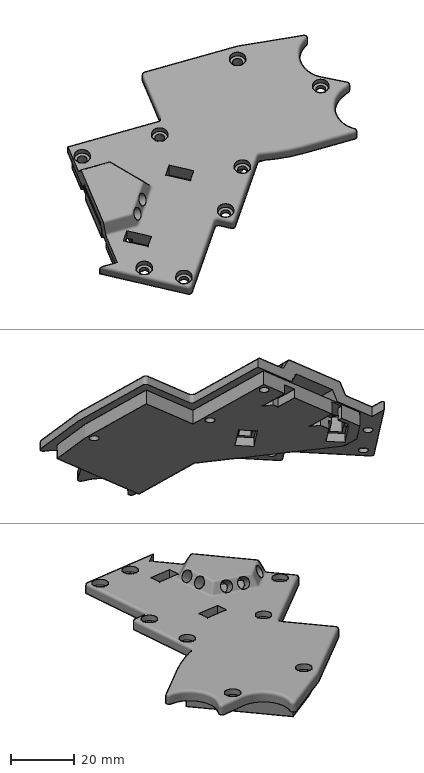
import cadquery as cq
import math

body_height = 5.0
plate_thickness = 3.5
boss_height = 4.0
plate_top = body_height + plate_thickness
total_height = plate_top + boss_height

edge_radius = 1.0
corner_radius = 1.2
tilt = math.radians(35)
margin = 11.8

left_step_x = 19.7
left_step_y = 37.4
slant_start_y = 69.6
slant_angle = math.radians(7.7)
front_y = 5.9
tail_x = 67.9
right_corner_x = 85.2
step_x = 61.9
step_length = 6.1
neck_x = 42.6
upper_right_x = 44.6
neck_arc_top_y = 76.4
neck_arc_radius = 51.6

bite_radius = 8.9
left_bite = (12.6, 95.5)
right_bite = (35.5, 99.4)
peak = (25.6, 97.3)
tip_radius = 1.1
tip_reach = bite_radius + tip_radius

screw_diameter = 3.1
screw_head_diameter = 5.2
screw_head_depth = 2.0
screw_places = [
    (23.8, 89.3),
    (5.2, 67.9),
    (45.4, 55.6),
    (59.9, 44.9),
    (25.1, 34.9),
    (25.1, 8.95),
    (80.2, 24.0),
    (72.7, 13.3),
]

slot_length = 8.1
slot_width = 4.0
first_slot = (41.3, 36.0)
slot_shift = (19.9, -21.0)
pocket_depth = 3.1
pocket_margin = 1.0

wall_inset = 2.95
body_front_y = 6.4
body_top_y = 85.5
body_front_right_x = 63.1
body_right_x = 70.0
body_neck_y = 59.0
body_undercut_x = 68.5
body_undercut_z = 3.2
foot_x = tail_x

groove_width = 4.1
groove_length = 7.9
first_groove_x = 33.5
groove_heights = [3.1, 4.4]
relief_wall = 1.7
relief_width = 4.4

boss_center_x = 43.6
boss_half_width = 13.2
boss_apex_y = 26.0
boss_draft = 30.0
draft = math.radians(boss_draft)
boss_wall = 4.8
lamp_diameter = 4.0
left_lamp_y = 9.8
upper_left_lamps = [3.8, 8.7]
upper_right_lamps = [5.1, 9.8]


def polar(center, radius, angle):
    return (center[0] + radius * math.cos(angle), center[1] + radius * math.sin(angle))


def direction(start, end):
    return math.atan2(end[1] - start[1], end[0] - start[0])


def slope_point(start, x, angle):
    """Point at the given x on the line through start."""
    return (x, start[1] + (x - start[0]) * math.tan(angle))


def arc(outline, center, radius, begin, end):
    """Add an arc from the current point, swept between two angles."""
    middle = polar(center, radius, (begin + end) / 2)
    return outline.threePointArc(middle, polar(center, radius, end))


def flank_turn(bite):
    """Angle at a bite's centre between the peak and the end of its flank."""
    return math.acos(tip_reach / math.dist(bite, peak))


def tilted_box(center, length, width, bottom, height):
    return (
        cq.Workplane("XY", origin=(center[0], center[1], bottom))
        .transformed(rotate=(0, 0, 90 - math.degrees(tilt)))
        .rect(length, width)
        .extrude(height)
    )


def front_trim():
    """Everything in front of the flat front face, left of the tail."""
    return cq.Workplane("XY").box(
        tail_x + margin, front_y + 2 * margin, total_height, centered=False
    ).translate((-margin, -2 * margin, 0))


def make_plate():
    rise = math.pi / 2 - tilt
    tail = (tail_x, 0.0)
    start = slope_point(tail, tail_x - margin / 2, rise)
    right_corner = slope_point(tail, right_corner_x, rise)
    step_inner = slope_point(right_corner, step_x, -tilt)
    step_outer = polar(step_inner, step_length, rise)
    neck = slope_point(step_outer, neck_x, -tilt)
    neck_arc_top = (upper_right_x, neck_arc_top_y)
    neck_angle = math.asin((neck_arc_top_y - neck[1]) / neck_arc_radius)
    neck_arc_center = (upper_right_x - neck_arc_radius, neck_arc_top_y)
    neck_arc_middle = polar(neck_arc_center, neck_arc_radius, -neck_angle / 2)

    right_tip_x = upper_right_x - tip_radius
    drop = math.sqrt(tip_reach**2 - (right_tip_x - right_bite[0]) ** 2)
    right_tip = (right_tip_x, right_bite[1] - drop)
    right_tip_angle = direction(right_tip, right_bite)

    right_flank = direction(right_bite, peak) + flank_turn(right_bite)
    left_flank = direction(left_bite, peak) - flank_turn(left_bite)

    normal = (math.cos(slant_angle), -math.sin(slant_angle))
    along = (math.sin(slant_angle), math.cos(slant_angle))
    base = (tip_radius * normal[0], slant_start_y + tip_radius * normal[1])
    to_bite = (left_bite[0] - base[0], left_bite[1] - base[1])
    run = to_bite[0] * along[0] + to_bite[1] * along[1]
    offset = to_bite[0] * normal[0] + to_bite[1] * normal[1]
    run -= math.sqrt(tip_reach**2 - offset**2)
    left_tip = (base[0] + run * along[0], base[1] + run * along[1])
    left_tip_angle = direction(left_tip, left_bite)
    slant_normal = math.pi - slant_angle

    outline = (
        cq.Workplane("XY", origin=(0, 0, body_height))
        .moveTo(*start)
        .lineTo(*right_corner)
        .lineTo(*step_inner)
        .lineTo(*step_outer)
        .lineTo(*neck)
        .threePointArc(neck_arc_middle, neck_arc_top)
        .lineTo(upper_right_x, right_tip[1])
    )
    outline = arc(outline, right_tip, tip_radius, 0, right_tip_angle)
    outline = arc(outline, right_bite, bite_radius, right_tip_angle - math.pi, right_flank)
    outline = outline.lineTo(*polar(peak, tip_radius, right_flank + math.pi))
    outline = arc(outline, peak, tip_radius, right_flank + math.pi, left_flank + math.pi)
    outline = outline.lineTo(*polar(left_bite, bite_radius, left_flank))
    outline = arc(outline, left_bite, bite_radius, left_flank, left_tip_angle - math.pi)
    outline = arc(outline, left_tip, tip_radius, left_tip_angle, slant_normal)
    plate = (
        outline.lineTo(0, slant_start_y)
        .lineTo(0, left_step_y)
        .lineTo(left_step_x, left_step_y)
        .lineTo(left_step_x, start[1])
        .close()
        .extrude(plate_thickness)
    )
    corners = [
        (0, left_step_y), (left_step_x, left_step_y), right_corner, step_inner, step_outer, neck
    ]
    for x, y in corners:
        corner = cq.selectors.NearestToPointSelector((x, y, body_height + plate_thickness / 2))
        plate = plate.edges("|Z").edges(corner).fillet(corner_radius)
    return plate.faces(">Z").edges().fillet(edge_radius).cut(front_trim())


def pentagon(inset, bottom, height):
    """Drafted house shape; inset is measured from the foot of the boss."""
    half = boss_half_width - inset
    apex_y = boss_apex_y - inset / math.cos(tilt)
    shoulder_y = apex_y - half * math.tan(tilt)
    return (
        cq.Workplane("XY", origin=(boss_center_x, 0, bottom))
        .moveTo(-half, -margin)
        .lineTo(half, -margin)
        .lineTo(half, shoulder_y)
        .lineTo(0, apex_y)
        .lineTo(-half, shoulder_y)
        .close()
        .extrude(height, taper=boss_draft)
    )


def add_boss(plate):
    boss = pentagon(0, plate_top, boss_height)
    shoulder_y = boss_apex_y - boss_half_width * math.tan(tilt)
    for x, y in [(-boss_half_width, shoulder_y), (0, boss_apex_y), (boss_half_width, shoulder_y)]:
        near_corner = (boss_center_x + x, y, plate_top + boss_height / 2)
        corner = cq.selectors.NearestToPointSelector(near_corner)
        boss = boss.edges("not #Z").edges(corner).fillet(edge_radius)
    boss = boss.faces(">Z").edges().fillet(edge_radius)
    part = plate.union(boss.cut(front_trim()))
    reach = boss_half_width + edge_radius
    foot_edges = cq.selectors.BoxSelector(
        (boss_center_x - reach, front_y + edge_radius, plate_top - edge_radius / 2),
        (boss_center_x + reach, boss_apex_y + edge_radius, plate_top + edge_radius / 2),
    )
    return part.edges(foot_edges).fillet(edge_radius)


def make_body():
    """Thick block under the plate, set in from the plate's left edges."""
    top_left_x = wall_inset + (body_top_y - slant_start_y) * math.tan(slant_angle)
    body_front_left_x = left_step_x + wall_inset
    body_step_y = left_step_y + wall_inset
    body_neck_x = neck_x - wall_inset
    right_rise = (body_right_x - body_front_right_x) / math.tan(tilt)
    block = (
        cq.Workplane("XY")
        .moveTo(body_front_left_x, body_front_y)
        .lineTo(body_front_right_x, body_front_y)
        .lineTo(body_right_x, body_front_y + right_rise)
        .lineTo(body_neck_x, body_neck_y)
        .lineTo(body_neck_x, body_top_y)
        .lineTo(top_left_x, body_top_y)
        .lineTo(wall_inset, slant_start_y)
        .lineTo(wall_inset, body_step_y)
        .lineTo(body_front_left_x, body_step_y)
        .close()
        .extrude(body_height)
    )
    undercut = (
        cq.Workplane("XZ")
        .moveTo(body_right_x, body_height)
        .lineTo(body_undercut_x, body_undercut_z)
        .lineTo(foot_x, 0)
        .lineTo(body_right_x, 0)
        .close()
        .extrude(-body_top_y)
    )
    return block.cut(undercut)


def groove(center_x, height):
    """Groove running back from the front, ending on a corner of solid."""
    half = groove_width / 2
    end_y = body_front_y + groove_length
    return (
        cq.Workplane("XY")
        .moveTo(center_x - half, 0)
        .lineTo(center_x + half, 0)
        .lineTo(center_x + half, end_y)
        .lineTo(center_x, end_y)
        .lineTo(center_x - half, end_y + half / math.tan(tilt))
        .close()
        .extrude(height)
    )


def relief():
    """Room to the right of the second groove, behind the front wall."""
    start_x = first_groove_x + slot_shift[0] + groove_width / 2
    box = cq.Workplane("XY").box(
        relief_width, groove_length - relief_wall, groove_heights[1], centered=False
    )
    return box.translate((start_x, body_front_y + relief_wall, 0))


def lamp_hole(side_angle, x, y):
    """Hole square to a drafted face, centred at half the boss height."""
    inward = cq.Vector(
        -math.cos(draft) * math.cos(side_angle),
        -math.cos(draft) * math.sin(side_angle),
        -math.sin(draft),
    )
    center = cq.Vector(x, y, plate_top + boss_height / 2)
    overrun = 1.0
    return cq.Workplane(cq.Solid.makeCylinder(
        lamp_diameter / 2, boss_wall + 2 * overrun, center - inward * overrun, inward))


def cut_cavity_and_lamps(part):
    lift = boss_wall / math.cos(draft) - plate_thickness * math.tan(draft)
    part = part.cut(pentagon(lift, body_height, plate_thickness))
    mid_inset = boss_height / 2 * math.tan(draft)
    mid_apex_y = boss_apex_y - mid_inset / math.cos(tilt)
    part = part.cut(lamp_hole(math.pi, boss_center_x - boss_half_width + mid_inset, left_lamp_y))
    for side, distances in [(-1, upper_left_lamps), (1, upper_right_lamps)]:
        for distance in distances:
            y = mid_apex_y - distance * math.tan(tilt)
            side_angle = math.pi / 2 - side * tilt
            part = part.cut(lamp_hole(side_angle, boss_center_x + side * distance, y))
    return part


def cut_slots_and_grooves(part):
    for index, height in enumerate(groove_heights):
        shift_x = index * slot_shift[0]
        center = (first_slot[0] + shift_x, first_slot[1] + index * slot_shift[1])
        part = part.cut(tilted_box(center, slot_length, slot_width, 0, plate_top))
        part = part.cut(tilted_box(
            center, slot_length + 2 * pocket_margin, slot_width + 2 * pocket_margin, 0, pocket_depth))
        part = part.cut(groove(first_groove_x + shift_x, height))
    return part.cut(relief())


def cut_screw_holes(part):
    holes = cq.Workplane("XY").pushPoints(screw_places).circle(screw_diameter / 2).extrude(plate_top)
    heads = (
        cq.Workplane("XY", origin=(0, 0, plate_top - screw_head_depth))
        .pushPoints(screw_places)
        .circle(screw_head_diameter / 2)
        .extrude(screw_head_depth)
    )
    return part.cut(holes).cut(heads)


result = add_boss(make_plate()).union(make_body())
result = cut_cavity_and_lamps(result)
result = cut_slots_and_grooves(result)
result = cut_screw_holes(result)